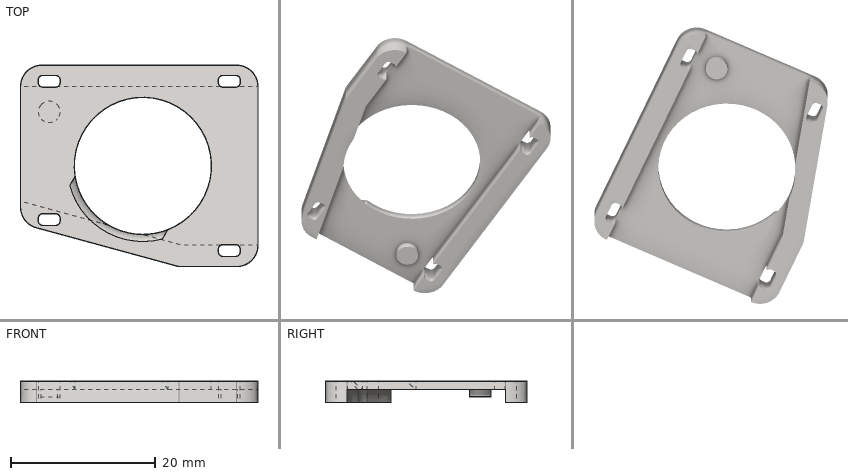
import cadquery as cq
import math

LENGTH = 33.0
WIDTH = 28.0
HEIGHT = 3.0
CORNER_RADIUS = 3.0
SLANT_START_X = 22.0
SLANT_END_Y = 6.0

WEB_THICKNESS = 1.2
RAIL_WIDTH = 3.0
CHANNEL_DEPTH = HEIGHT - WEB_THICKNESS

BORE_X = 17.0
BORE_Y = 14.0
BORE_RADIUS = 9.5
BEVEL_WIDTH = 1.0
BEVEL_DEPTH = WEB_THICKNESS
BEVEL_DIRECTION = 240.0
BEVEL_ANGLE = 90.0

SLOT_LENGTH = 3.0
SLOT_WIDTH = 1.6
SLOT_CORNER_RADIUS = 0.6
SLOT_EDGE_OFFSET = 2.25
SLOT_LEFT_X = 4.0
SLOT_RIGHT_X = LENGTH - SLOT_LEFT_X
SLOT_FRONT_LEFT_Y = 6.55

PEG_RADIUS = 1.5
PEG_LENGTH = 1.0
PEG_X = SLOT_LEFT_X
PEG_Y = 21.5


def make_plate():
    """Rectangle with one slanted front edge and four rounded corners."""
    outline = [
        (0, SLANT_END_Y),
        (SLANT_START_X, 0),
        (LENGTH, 0),
        (LENGTH, WIDTH),
        (0, WIDTH),
    ]
    plate = cq.Workplane("XY").polyline(outline).close().extrude(HEIGHT)
    plate = plate.edges("|Z and (<X or >X)").fillet(CORNER_RADIUS)
    return plate


def make_channel():
    """Underside channel, open at both ends; its front wall runs parallel to the plate's front edges."""
    slant_length = math.hypot(SLANT_START_X, SLANT_END_Y)
    wall_left_y = SLANT_END_Y + RAIL_WIDTH * slant_length / SLANT_START_X
    wall_bend_x = (wall_left_y - RAIL_WIDTH) * SLANT_START_X / SLANT_END_Y
    outline = [
        (0, wall_left_y),
        (wall_bend_x, RAIL_WIDTH),
        (LENGTH, RAIL_WIDTH),
        (LENGTH, WIDTH - RAIL_WIDTH),
        (0, WIDTH - RAIL_WIDTH),
    ]
    return cq.Workplane("XY").polyline(outline).close().extrude(CHANNEL_DEPTH)


def make_bore():
    """Round opening through the full height."""
    return cq.Workplane("XY").center(BORE_X, BORE_Y).circle(BORE_RADIUS).extrude(HEIGHT)


def make_bevel():
    """Cone around the bore, kept only in a straight-sided strip running outward."""
    outer_radius = BORE_RADIUS + BEVEL_WIDTH
    cone = (
        cq.Workplane("XY", origin=(0, 0, HEIGHT - BEVEL_DEPTH))
        .circle(BORE_RADIUS)
        .workplane(offset=BEVEL_DEPTH)
        .circle(outer_radius)
        .loft()
    )
    strip_width = 2 * outer_radius * math.sin(math.radians(BEVEL_ANGLE / 2))
    strip = (
        cq.Workplane("XY")
        .box(outer_radius, strip_width, HEIGHT, centered=(False, True, False))
        .rotate((0, 0, 0), (0, 0, 1), BEVEL_DIRECTION)
    )
    return cone.intersect(strip).translate((BORE_X, BORE_Y, 0))


def make_slots():
    """Four through slots, one near each corner, elongated along X with rounded corners."""
    back_y = WIDTH - SLOT_EDGE_OFFSET
    centers = [
        (SLOT_LEFT_X, back_y),
        (SLOT_RIGHT_X, back_y),
        (SLOT_LEFT_X, SLOT_FRONT_LEFT_Y),
        (SLOT_RIGHT_X, SLOT_EDGE_OFFSET),
    ]
    slots = cq.Workplane("XY").pushPoints(centers).rect(SLOT_LENGTH, SLOT_WIDTH).extrude(HEIGHT)
    return slots.edges("|Z").fillet(SLOT_CORNER_RADIUS)


def make_peg():
    """Round peg under the web, shorter than the channel is deep."""
    return (
        cq.Workplane("XY", origin=(PEG_X, PEG_Y, CHANNEL_DEPTH - PEG_LENGTH))
        .circle(PEG_RADIUS)
        .extrude(PEG_LENGTH)
    )


result = (
    make_plate()
    .cut(make_channel())
    .cut(make_bore())
    .cut(make_bevel())
    .cut(make_slots())
    .union(make_peg())
)